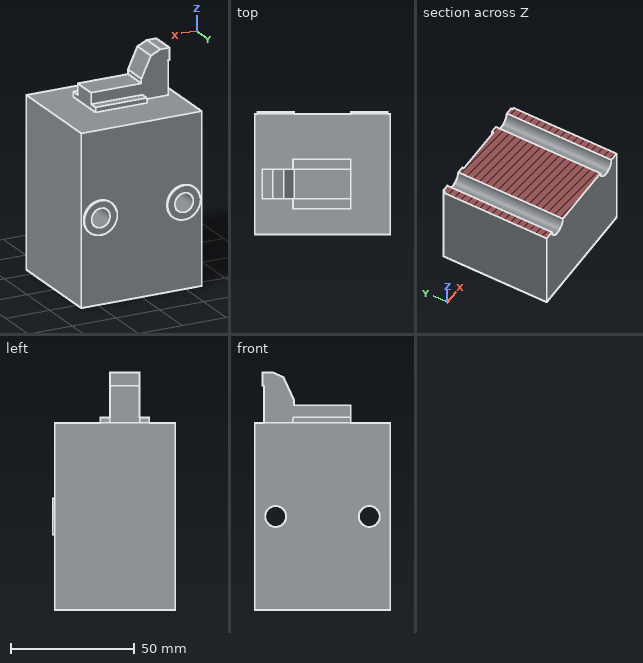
import cadquery as cq

block_width = 55.0
block_depth = 49.0
block_height = 76.0

hole_spacing = 38.0
hole_diameter = 8.4
disc_diameter = 15.0
disc_height = 0.75

lever_center_y = 20.5
lever_thickness = 12.0
lever_height = 20.5
lip_x = -block_width / 2 + 3.1
lip_overhang = 0.6
lip_height = 5.35
lip_root_drop = 0.15
crown_length = 4.3
shoulder_x = -15.8
shoulder_height = 18.5
arm_start_x = -11.5
slope_end_height = 9.2
arm_end_x = 11.5
arm_height = 7.2

rail_span = 20.0
rail_height = 2.2
rail_start_x = -12.1
rail_end_lean = 0.2


def extrude_along_y(outline, center_y, thickness):
    """Extrude an (x, height above the block) outline, centred on center_y."""
    plane = cq.Workplane("XZ", origin=(0, center_y, block_height))
    return plane.polyline(outline).close().extrude(thickness / 2, both=True)


def make_block():
    return cq.Workplane("XY").box(
        block_width, block_depth, block_height, centered=(True, False, False)
    )


def make_lever():
    face_x = lip_x + lip_overhang
    lip_bottom = lever_height - lip_height
    outline = [
        (face_x, 0),
        (face_x, lip_bottom - lip_root_drop),
        (lip_x, lip_bottom),
        (lip_x, lever_height),
        (lip_x + crown_length, lever_height),
        (shoulder_x, shoulder_height),
        (arm_start_x, slope_end_height),
        (arm_start_x, arm_height),
        (arm_end_x, arm_height),
        (arm_end_x, 0),
    ]
    return extrude_along_y(outline, lever_center_y, lever_thickness)


def make_rails():
    outline = [
        (rail_start_x, 0),
        (rail_start_x + rail_end_lean, rail_height),
        (arm_end_x, rail_height),
        (arm_end_x, 0),
    ]
    return extrude_along_y(outline, lever_center_y, rail_span)


def cylinders_at_holes(diameter, start_y, length):
    """Two cylinders along +Y on the hole axes."""
    plane = cq.Workplane("XZ", origin=(0, start_y, block_height / 2))
    centers = [(-hole_spacing / 2, 0), (hole_spacing / 2, 0)]
    return plane.pushPoints(centers).circle(diameter / 2).extrude(-length)


body = make_block().union(make_lever()).union(make_rails())
body = body.union(cylinders_at_holes(disc_diameter, block_depth, disc_height))
result = body.cut(cylinders_at_holes(hole_diameter, 0, block_depth + disc_height))